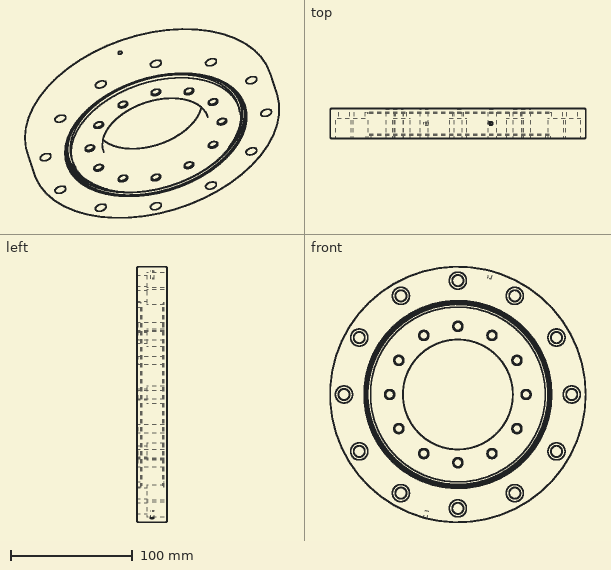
import cadquery as cq

outer_diameter = 210.0
ring_width = 25.0
bore_diameter = 90.0
rim_fillet = 1.5
bore_fillet = 1.5

channel_inner_radius = 71.8
channel_outer_radius = 75.8
channel_depth = 3.4
channel_lip_radius = 77.0
channel_lip_depth = 0.5
seal_bead_inner_radius = 74.5
seal_slit_inner_radius = 74.0
seal_slit_depth = 0.8

hole_count = 12
outer_hole_circle_diameter = 187.0
outer_hole_diameter = 9.0
counterbore_diameter = 14.0
counterbore_depth = 16.8

inner_hole_circle_diameter = 112.0
inner_hole_diameter = 6.7
countersink_diameter = 8.2

grease_hole_diameter = 3.0
grease_hole_depth = 6.3
grease_hole_angles = (15, 195)


def seal_channel():
    """Space to remove from the -Y face between the races, leaving the rounded seal bead."""
    open_face = -ring_width / 2
    lip_face = open_face + channel_lip_depth
    floor = open_face + channel_depth
    slit_floor = floor + seal_slit_depth
    bead_radius = (channel_outer_radius - seal_bead_inner_radius) / 2
    bead_middle = seal_bead_inner_radius + bead_radius
    section = (
        cq.Workplane("XY")
        .moveTo(channel_inner_radius, open_face)
        .lineTo(channel_inner_radius, floor)
        .lineTo(seal_slit_inner_radius, floor)
        .lineTo(seal_slit_inner_radius, slit_floor)
        .lineTo(seal_bead_inner_radius, slit_floor)
        .lineTo(seal_bead_inner_radius, floor)
        .threePointArc((bead_middle, floor - bead_radius), (channel_outer_radius, floor))
        .lineTo(channel_outer_radius, lip_face)
        .lineTo(channel_lip_radius, lip_face)
        .lineTo(channel_lip_radius, open_face)
        .close()
    )
    return section.revolve(360, (0, 0), (0, 1))


def ring_body():
    back_face = cq.Workplane("XZ", origin=(0, ring_width / 2, 0))
    ring = back_face.circle(outer_diameter / 2).circle(bore_diameter / 2).extrude(ring_width)
    bore_edges = cq.selectors.RadiusNthSelector(0)
    rim_edges = cq.selectors.RadiusNthSelector(-1)
    ring = ring.faces("<Y or >Y").edges(bore_edges).fillet(bore_fillet)
    ring = ring.faces("<Y or >Y").edges(rim_edges).fillet(rim_fillet)
    channel = seal_channel()
    return ring.cut(channel).cut(channel.mirror("XZ"))


def around_axis(hole):
    """Copies of a hole placed on +X, evenly spaced around the Y axis."""
    holes = cq.Workplane("XY")
    for index in range(hole_count):
        holes = holes.add(hole.rotate((0, 0, 0), (0, 1, 0), index * 360 / hole_count))
    return holes.combine()


def counterbored_holes():
    """Through holes in the outer race, with deep counterbores from the -Y face."""
    centre = cq.Workplane("XZ", origin=(outer_hole_circle_diameter / 2, -ring_width / 2, 0))
    shank = centre.circle(outer_hole_diameter / 2).extrude(-ring_width)
    head = centre.circle(counterbore_diameter / 2).extrude(-counterbore_depth)
    return around_axis(shank.union(head))


def countersunk_holes():
    """Through holes in the inner race, with a 90 degree countersink at both ends."""
    hole_radius = inner_hole_diameter / 2
    sink_radius = countersink_diameter / 2
    sink_depth = sink_radius - hole_radius
    half_width = ring_width / 2
    hole = (
        cq.Workplane("XY")
        .moveTo(0, -half_width)
        .lineTo(sink_radius, -half_width)
        .lineTo(hole_radius, -half_width + sink_depth)
        .lineTo(hole_radius, half_width - sink_depth)
        .lineTo(sink_radius, half_width)
        .lineTo(0, half_width)
        .close()
        .revolve(360, (0, 0), (0, 1))
        .translate((inner_hole_circle_diameter / 2, 0, 0))
    )
    return around_axis(hole)


def grease_hole(angle):
    rim_top = cq.Workplane("XY", origin=(0, 0, outer_diameter / 2))
    hole = rim_top.circle(grease_hole_diameter / 2).extrude(-grease_hole_depth)
    return hole.rotate((0, 0, 0), (0, 1, 0), angle)


result = ring_body().cut(counterbored_holes()).cut(countersunk_holes())
for grease_angle in grease_hole_angles:
    result = result.cut(grease_hole(grease_angle))